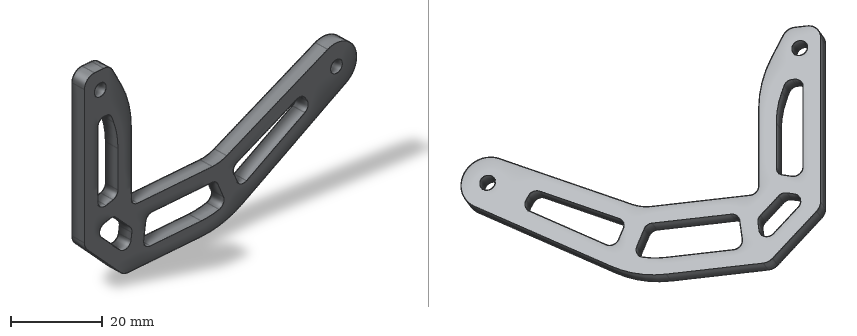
import cadquery as cq
import math

thickness = 4.0
length = 81.7
height = 55.2
rim = 4.0
window_radius = 2.0

hole_diameter = 3.5
tip_radius = 6.05
arm_hole = (length - tip_radius, 26.55)
upright_hole = (4.7, height - 5.1)

upright_depth = 14.05
base_height = 16.5
heel_chamfer = 11.8
chamfer_angle = 135.0
arm_lower_angle = 30.0
arm_upper_angle = 25.6
nose_angle = 28.0
nose_start = 43.1
edge_radius = 3.0
inner_radius = 2.0
arm_lower_radius = 25.0
arm_upper_radius = 10.0
nose_radius = 25.0

upright_window_top = 42.9
window_lean_start = 36.7
window_lean_angle = 20.0
upper_rib = (7.35, 18.05)
upper_rib_angle = 15.0
lower_rib = (16.2, 9.3)
lower_rib_angle = 82.5
arm_rib = (42.65, 11.2)
arm_rib_angle = 113.0
arm_rib_width = 4.65
heel_window_width = 5.4
arm_window_end = (66.5, 22.05)
arm_window_end_angle = 120.0

touching = 8.17e-07
tangent_limit = 5.0


def direction(angle):
    return math.cos(math.radians(angle)), math.sin(math.radians(angle))


def meet(p, p_angle, q, q_angle):
    """Intersection of two lines, each given by a point and an angle."""
    py, pz = direction(p_angle)
    qy, qz = direction(q_angle)
    along = ((q[0] - p[0]) * qz - (q[1] - p[1]) * qy) / (py * qz - pz * qy)
    return p[0] + along * py, p[1] + along * pz


def shifted(point, angle, distance):
    """Move a point at right angles (counterclockwise) to a direction."""
    dy, dz = direction(angle)
    return point[0] - distance * dz, point[1] + distance * dy


def prism(wire):
    return wire.extrude(thickness / 2, both=True)


def rounded_outline(corners):
    """Closed profile from (point, radius) corners with tangent corner arcs."""
    arcs = []
    for i, (point, radius) in enumerate(corners):
        corner = cq.Vector(*point)
        before = (cq.Vector(*corners[i - 1][0]) - corner).normalized()
        after = (cq.Vector(*corners[(i + 1) % len(corners)][0]) - corner).normalized()
        half_angle = before.getAngle(after) / 2
        setback = radius / math.tan(half_angle)
        bisector = (before + after).normalized()
        middle = corner + bisector * (radius / math.sin(half_angle) - radius)
        arcs.append([(v.x, v.y) for v in (corner + before * setback, middle, corner + after * setback)])
    sketch = cq.Workplane("YZ").moveTo(*arcs[0][0])
    position = arcs[0][0]
    for start, middle, end in arcs:
        if math.dist(position, start) > touching:
            sketch = sketch.lineTo(*start)
        sketch = sketch.threePointArc(middle, end)
        position = end
    return sketch.close()


def plate_outline():
    lower_point = shifted(arm_hole, arm_lower_angle, -tip_radius)
    upper_point = shifted(arm_hole, arm_upper_angle, tip_radius)
    end_angle = (arm_lower_angle + arm_upper_angle) / 2 + 90
    end_point = shifted(arm_hole, end_angle, -tip_radius)
    nose_slope = 90 + nose_angle
    nose_corner = (upright_depth, nose_start)
    return rounded_outline([
        ((0, heel_chamfer), edge_radius),
        ((heel_chamfer, 0), edge_radius),
        (meet(lower_point, arm_lower_angle, (0, 0), 0), arm_lower_radius),
        (meet(lower_point, arm_lower_angle, end_point, end_angle), tip_radius),
        (meet(upper_point, arm_upper_angle, end_point, end_angle), tip_radius),
        (meet(upper_point, arm_upper_angle, (0, base_height), 0), arm_upper_radius),
        ((upright_depth, base_height), inner_radius),
        (nose_corner, nose_radius),
        (meet(nose_corner, nose_slope, (0, height), 0), edge_radius),
        ((0, height), edge_radius),
    ])


def round_sharp_edges(body):
    """Round the through-thickness edges, skipping those where faces run tangent."""
    sharp = []
    for edge in body.edges("|X").vals():
        sides = [f for f in body.faces().vals() if any(edge.isSame(e) for e in f.Edges())]
        normals = [f.normalAt(edge.Center()) for f in sides]
        if math.degrees(normals[0].getAngle(normals[1])) > tangent_limit:
            sharp.append(edge)
    return body.newObject(sharp).fillet(window_radius)


def window(boundary):
    """Window that follows the plate's rim inside a straight-sided boundary."""
    inset = prism(plate_outline().offset2D(-rim))
    region = prism(cq.Workplane("YZ").polyline(boundary).close())
    return round_sharp_edges(inset.intersect(region))


def rib_level(middle, angle, side, width, level):
    """Point at height level on one edge of a rib."""
    return meet(shifted(middle, angle, side * width / 2), angle, (0, level), 0)


window_front = upright_depth - rim
lean_corner = (window_front, window_lean_start)
lean_slope = 90 + window_lean_angle
upright_window_base = shifted(upper_rib, upper_rib_angle, rim / 2)
upright_window = prism(rounded_outline([
    (meet(upright_window_base, upper_rib_angle, (rim, 0), 90), window_radius),
    (meet(upright_window_base, upper_rib_angle, (window_front, 0), 90), window_radius),
    (lean_corner, nose_radius - rim),
    (meet(lean_corner, lean_slope, (0, upright_window_top), 0), window_radius),
    ((rim, upright_window_top), window_radius),
]))

heel_outer = (heel_chamfer + rim * math.sqrt(2), 0)
heel_inner = (heel_outer[0] + heel_window_width * math.sqrt(2), 0)
heel_top_edge = shifted(upper_rib, upper_rib_angle, -rim / 2)
heel_side_edge = shifted(lower_rib, lower_rib_angle, rim / 2)
heel_window = prism(rounded_outline([
    (meet(heel_outer, chamfer_angle, heel_top_edge, upper_rib_angle), window_radius),
    (meet(heel_inner, chamfer_angle, heel_top_edge, upper_rib_angle), window_radius),
    (meet(heel_inner, chamfer_angle, heel_side_edge, lower_rib_angle), window_radius),
    (meet(heel_outer, chamfer_angle, heel_side_edge, lower_rib_angle), window_radius),
]))

base_window = window([
    rib_level(lower_rib, lower_rib_angle, -1, rim, 0),
    rib_level(lower_rib, lower_rib_angle, -1, rim, base_height),
    rib_level(arm_rib, arm_rib_angle, 1, arm_rib_width, base_height),
    rib_level(arm_rib, arm_rib_angle, 1, arm_rib_width, 0),
])

arm_window = window([
    rib_level(arm_rib, arm_rib_angle, -1, arm_rib_width, 0),
    rib_level(arm_rib, arm_rib_angle, -1, arm_rib_width, height),
    meet(arm_window_end, arm_window_end_angle, (0, height), 0),
    meet(arm_window_end, arm_window_end_angle, (0, 0), 0),
])

result = prism(plate_outline())
for opening in (upright_window, heel_window, base_window, arm_window):
    result = result.cut(opening)
for center in (arm_hole, upright_hole):
    result = result.cut(prism(cq.Workplane("YZ").center(*center).circle(hole_diameter / 2)))